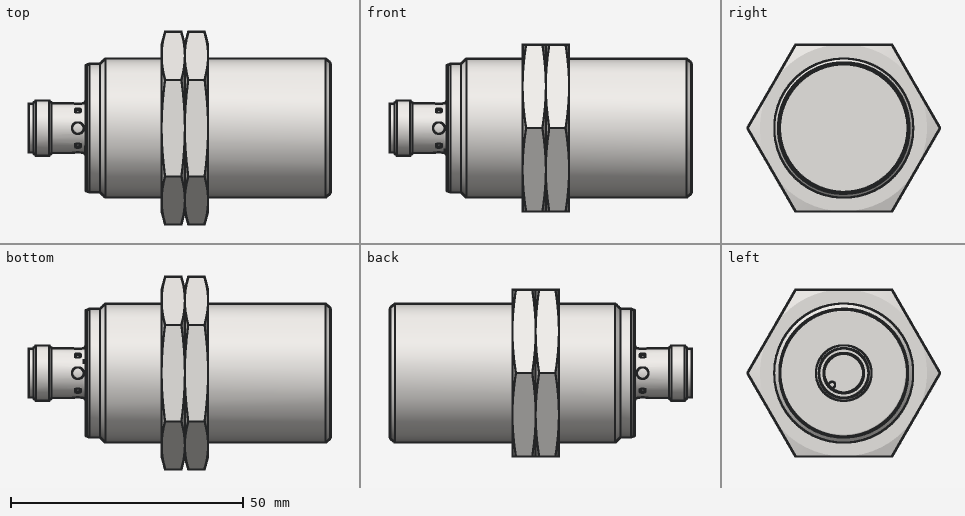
import cadquery as cq
import math


total_length = 65.11

nose_end = 1.0
collar_bevel = 0.6
collar_start = nose_end + collar_bevel
collar_end = 4.35
neck_start = collar_end + collar_bevel
cap_start = 12.2
cap_edge_radius = 0.4
neck_root_radius = 0.4
cap_rim_end = 13.15
barrel_start = 15.4
barrel_bevel = 1.1
end_bevel_start = 63.95
end_bevel_end = 64.95

nose_diameter = 10.6
collar_diameter = 12.0
neck_diameter = 10.8
cap_rim_diameter = 27.32
cap_face_diameter = cap_rim_diameter - 2 * cap_edge_radius
cap_diameter = 27.8
barrel_diameter = 30.0
end_bevel_diameter = 28.38
end_face_diameter = 27.5

socket_diameter = 8.35
socket_depth = 9.0
socket_bevel = 0.2
key_width = 1.3
key_nose_radius = 3.54
key_wall_reach = 0.6
key_angle = -45.0
key_start = 0.5

recess_x = 10.6
recess_depth = 0.4
large_recess_diameter = 2.5
small_recess_diameter = 1.3
recesses_per_ring = 4
small_recess_start_angle = 45.0

nut_start = 28.65
nut_thickness = 5.0
nut_count = 2
nut_across_flats = 36.0
nut_sides = 6
nut_bevel_angle = 15.0


def make_revolved_body():
    """Turned outline of the connector, cap and barrel."""
    front_points = [
        (0, nose_diameter),
        (nose_end, nose_diameter),
        (nose_end, neck_diameter),
        (collar_start, collar_diameter),
        (collar_end, collar_diameter),
        (neck_start, neck_diameter),
        (cap_start - neck_root_radius, neck_diameter),
    ]
    rear_points = [
        (cap_rim_end, cap_diameter),
        (barrel_start, cap_diameter),
        (barrel_start + barrel_bevel, barrel_diameter),
        (end_bevel_start, barrel_diameter),
        (end_bevel_end, end_bevel_diameter),
        (total_length, end_face_diameter),
    ]
    root_middle = neck_root_radius * (1 - math.sqrt(0.5))
    neck_root_middle = (cap_start - root_middle, neck_diameter / 2 + root_middle)
    neck_root_end = (cap_start, neck_diameter / 2 + neck_root_radius)

    edge_middle = cap_edge_radius * (1 - math.sqrt(0.5))
    cap_edge_middle = (cap_start + edge_middle, cap_rim_diameter / 2 - edge_middle)
    cap_edge_end = (cap_start + cap_edge_radius, cap_rim_diameter / 2)

    profile = cq.Workplane("XY").moveTo(0, 0)
    for x, diameter in front_points:
        profile = profile.lineTo(x, diameter / 2)
    profile = profile.threePointArc(neck_root_middle, neck_root_end)
    profile = profile.lineTo(cap_start, cap_face_diameter / 2)
    profile = profile.threePointArc(cap_edge_middle, cap_edge_end)
    for x, diameter in rear_points:
        profile = profile.lineTo(x, diameter / 2)
    return profile.lineTo(total_length, 0).close().revolve(360, (0, 0, 0), (1, 0, 0))


def make_socket():
    """Blind round socket with a bevelled mouth."""
    radius = socket_diameter / 2
    return (
        cq.Workplane("XY")
        .moveTo(0, 0)
        .lineTo(0, radius + socket_bevel)
        .lineTo(socket_bevel, radius)
        .lineTo(socket_depth, radius)
        .lineTo(socket_depth, 0)
        .close()
        .revolve(360, (0, 0, 0), (1, 0, 0))
    )


def make_key():
    """Round-nosed key rib running along the socket wall and rooted in it."""
    return (
        cq.Workplane("YZ", origin=(key_start, 0, 0))
        .center(key_nose_radius + key_wall_reach / 2, 0)
        .slot2D(key_wall_reach + key_width, key_width)
        .extrude(socket_depth - key_start)
        .rotate((0, 0, 0), (1, 0, 0), key_angle)
    )


def make_recess_ring(diameter, first_angle):
    """Ring of shallow radial recesses whose floors follow the neck."""
    floor_radius = neck_diameter / 2 - recess_depth
    ring = cq.Workplane("XY")
    for index in range(recesses_per_ring):
        angle = first_angle + index * 360 / recesses_per_ring
        drill = (
            cq.Workplane("XY", origin=(recess_x, 0, 0))
            .circle(diameter / 2)
            .extrude(neck_diameter)
            .rotate((0, 0, 0), (1, 0, 0), angle)
        )
        ring = ring.add(drill)
    core = cq.Workplane("YZ").circle(floor_radius).extrude(total_length)
    return ring.combine().cut(core)


def make_sensor():
    """Sensor body with its socket, key and neck recesses."""
    body = make_revolved_body().cut(make_socket()).union(make_key())
    body = body.cut(make_recess_ring(large_recess_diameter, 0))
    return body.cut(make_recess_ring(small_recess_diameter, small_recess_start_angle))


def make_nut(start):
    """Hexagon nut with corners on the Y axis, bevelled on both faces."""
    corner_diameter = nut_across_flats / math.cos(math.pi / nut_sides)
    bevel_height = (corner_diameter - nut_across_flats) / 2
    bevel_width = bevel_height * math.tan(math.radians(nut_bevel_angle))
    hexagon = cq.Workplane("YZ").polygon(nut_sides, corner_diameter).extrude(nut_thickness)
    bevelled_disc = (
        cq.Workplane("YZ")
        .circle(corner_diameter / 2)
        .extrude(nut_thickness)
        .faces("<X or >X")
        .chamfer(bevel_width, bevel_height)
    )
    bore = cq.Workplane("YZ").circle(barrel_diameter / 2).extrude(nut_thickness)
    return hexagon.intersect(bevelled_disc).cut(bore).translate((start, 0, 0))


sensor = make_sensor()
nuts = [make_nut(nut_start + index * nut_thickness) for index in range(nut_count)]

result = cq.Compound.makeCompound([sensor.val(), *[nut.val() for nut in nuts]])